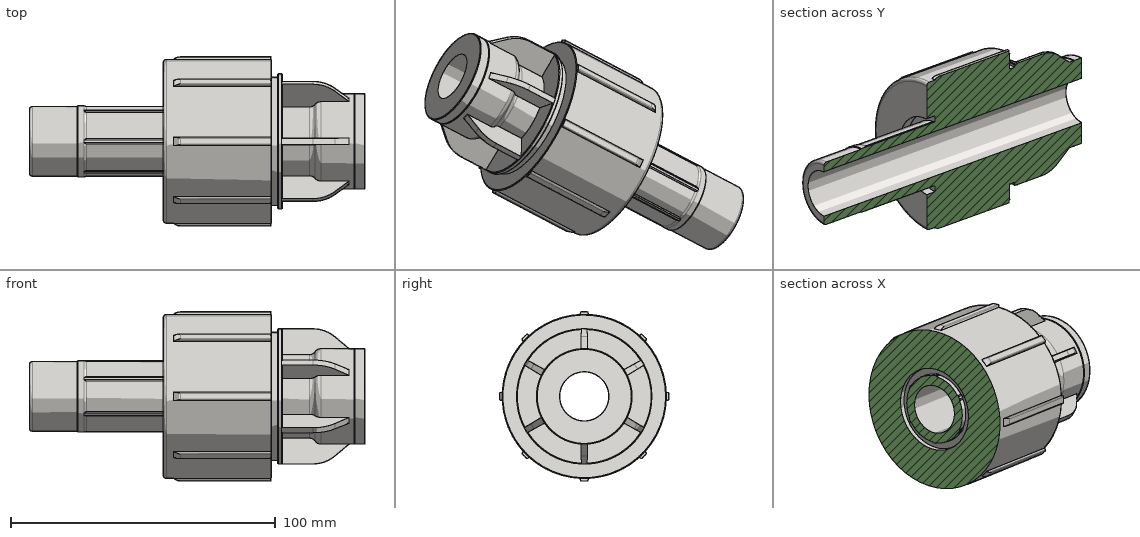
import cadquery as cq
import math

total_length = 127.0
bore_diameter = 18.51

edge_chamfer = 0.3

pipe_radius = 26.44 / 2
pipe_end_radius = 24.12 / 2
pipe_end_fillet = pipe_radius - pipe_end_radius
bead_radius = 26.97 / 2
bead_start = 18.1
bead_end = 20.7
bead_taper_end = 21.6

pipe_rib_count = 6
pipe_rib_base_width = 2.0
pipe_rib_top_width = 0.9

nut_start = 50.6
nut_end = 91.6
nut_radius = 62.08 / 2
nut_edge_fillet = 1.3
recess_radius = 31.73 / 2
recess_depth = 4.0

nut_rib_count = 8
nut_rib_outer_radius = 32.0
nut_rib_base_width = 3.2
nut_rib_top_width = 2.8
nut_rib_edge_fillet = 0.4
nut_rib_start = 54.6
nut_rib_ramp_length = 2.6

collar_radius = 48.64 / 2
flange_start = 93.9
flange_end = 95.7
flange_radius = 51.2 / 2

neck_radius = 31.73 / 2
neck_end = 106.0
barrel_start = 110.2
barrel_radius = 36.17 / 2
groove_start = 122.8
groove_width = 0.4
groove_depth = 0.1

fin_count = 6
fin_root_thickness = 2.6
fin_tip_thickness = 2.2
fin_end = 121.0
fin_arc_start = 107.2
fin_arc_radius = 13.0
fin_arc_angle = math.radians(40)

root_depth = 1.5


def around_axis(shape, count):
    """Equally spaced copies of a shape about X, the first one pointing up."""
    copies = cq.Workplane("XY")
    for index in range(count):
        copies = copies.add(shape.rotate((0, 0, 0), (1, 0, 0), index * 360 / count))
    return copies.combine()


def trapezoid_bar(start, end, base_radius, top_radius, base_width, top_width):
    """Bar along X on the +Z side, narrowing outward, with a straight root below its base."""
    outline = [
        (-base_width / 2, base_radius - root_depth),
        (-base_width / 2, base_radius),
        (-top_width / 2, top_radius),
        (top_width / 2, top_radius),
        (base_width / 2, base_radius),
        (base_width / 2, base_radius - root_depth),
    ]
    section = cq.Workplane("YZ", origin=(start, 0, 0)).polyline(outline).close()
    return section.extrude(end - start)


def make_body():
    """Pipe, nut, collar, flange, neck and barrel as one revolved outline (X, radius)."""
    corner_ratio = 1 - math.sqrt(0.5)
    pipe_corner = pipe_end_fillet * corner_ratio
    nut_corner = nut_edge_fillet * corner_ratio
    step_middle = ((neck_end + barrel_start) / 2, (neck_radius + barrel_radius) / 2)
    outline = (
        cq.Workplane("XY")
        .moveTo(0, 0)
        .lineTo(0, pipe_end_radius)
        .threePointArc((pipe_corner, pipe_radius - pipe_corner), (pipe_end_fillet, pipe_radius))
        .lineTo(bead_start, pipe_radius)
        .lineTo(bead_start + edge_chamfer, bead_radius)
        .lineTo(bead_end, bead_radius)
        .lineTo(bead_taper_end, pipe_radius)
        .lineTo(nut_start + recess_depth, pipe_radius)
        .lineTo(nut_start + recess_depth, recess_radius)
        .lineTo(nut_start, recess_radius)
        .lineTo(nut_start, nut_radius - nut_edge_fillet)
        .threePointArc(
            (nut_start + nut_corner, nut_radius - nut_corner),
            (nut_start + nut_edge_fillet, nut_radius),
        )
        .lineTo(nut_end - edge_chamfer, nut_radius)
        .lineTo(nut_end, nut_radius - edge_chamfer)
        .lineTo(nut_end, collar_radius)
        .lineTo(flange_start, collar_radius)
        .lineTo(flange_start, flange_radius - edge_chamfer)
        .lineTo(flange_start + edge_chamfer, flange_radius)
        .lineTo(flange_end - edge_chamfer, flange_radius)
        .lineTo(flange_end, flange_radius - edge_chamfer)
        .lineTo(flange_end, neck_radius)
        .lineTo(neck_end, neck_radius)
        .tangentArcPoint(step_middle, relative=False)
        .tangentArcPoint((barrel_start, barrel_radius), relative=False)
        .lineTo(groove_start, barrel_radius)
        .lineTo(groove_start, barrel_radius - groove_depth)
        .lineTo(groove_start + groove_width, barrel_radius - groove_depth)
        .lineTo(groove_start + groove_width, barrel_radius)
        .lineTo(total_length - edge_chamfer, barrel_radius)
        .lineTo(total_length, barrel_radius - edge_chamfer)
        .lineTo(total_length, 0)
        .close()
    )
    return outline.revolve(360, (0, 0, 0), (1, 0, 0))


def make_pipe_rib():
    """Low rib from the bead into the recess of the nut."""
    return trapezoid_bar(
        bead_end,
        nut_start + recess_depth,
        pipe_radius,
        bead_radius,
        pipe_rib_base_width,
        pipe_rib_top_width,
    )


def make_nut_rib():
    """Grip rib with rounded top edges and a convex run-in at its front end."""
    bar = trapezoid_bar(
        nut_rib_start,
        nut_end - edge_chamfer,
        nut_radius,
        nut_rib_outer_radius,
        nut_rib_base_width,
        nut_rib_top_width,
    )
    bar = bar.faces(">Z").edges("|X").fillet(nut_rib_edge_fillet)
    ramp_end = nut_rib_start + nut_rib_ramp_length
    rise = nut_rib_outer_radius - nut_radius
    arc_radius = (nut_rib_ramp_length**2 + rise**2) / (2 * rise)
    arc_mid = math.asin(nut_rib_ramp_length / arc_radius) / 2
    run_in = (
        cq.Workplane("XZ")
        .moveTo(nut_rib_start, nut_rib_outer_radius)
        .lineTo(nut_rib_start, nut_radius)
        .threePointArc(
            (
                ramp_end - arc_radius * math.sin(arc_mid),
                nut_rib_outer_radius - arc_radius * (1 - math.cos(arc_mid)),
            ),
            (ramp_end, nut_rib_outer_radius),
        )
        .close()
        .extrude(nut_rib_base_width, both=True)
    )
    return bar.cut(run_in)


def make_fin():
    """Fin thinning outward: level top, tangent arc, then a straight slope down to the barrel."""
    arc_mid = fin_arc_angle / 2
    arc_end_x = fin_arc_start + fin_arc_radius * math.sin(fin_arc_angle)
    arc_end_z = flange_radius - fin_arc_radius * (1 - math.cos(fin_arc_angle))
    slope_end_z = arc_end_z - (fin_end - arc_end_x) * math.tan(fin_arc_angle)
    root_z = neck_radius - root_depth
    fin_start = flange_end - edge_chamfer
    side = (
        cq.Workplane("XZ")
        .moveTo(fin_start, root_z)
        .lineTo(fin_start, flange_radius)
        .lineTo(fin_arc_start, flange_radius)
        .threePointArc(
            (
                fin_arc_start + fin_arc_radius * math.sin(arc_mid),
                flange_radius - fin_arc_radius * (1 - math.cos(arc_mid)),
            ),
            (arc_end_x, arc_end_z),
        )
        .lineTo(fin_end, slope_end_z)
        .lineTo(fin_end, root_z)
        .close()
        .extrude(fin_root_thickness, both=True)
    )
    wedge = trapezoid_bar(
        fin_start,
        fin_end,
        neck_radius,
        flange_radius,
        fin_root_thickness,
        fin_tip_thickness,
    )
    return side.intersect(wedge)


bore = cq.Workplane("YZ").circle(bore_diameter / 2).extrude(total_length)

result = (
    make_body()
    .union(around_axis(make_pipe_rib(), pipe_rib_count))
    .union(around_axis(make_nut_rib(), nut_rib_count))
    .union(around_axis(make_fin(), fin_count))
    .cut(bore)
)